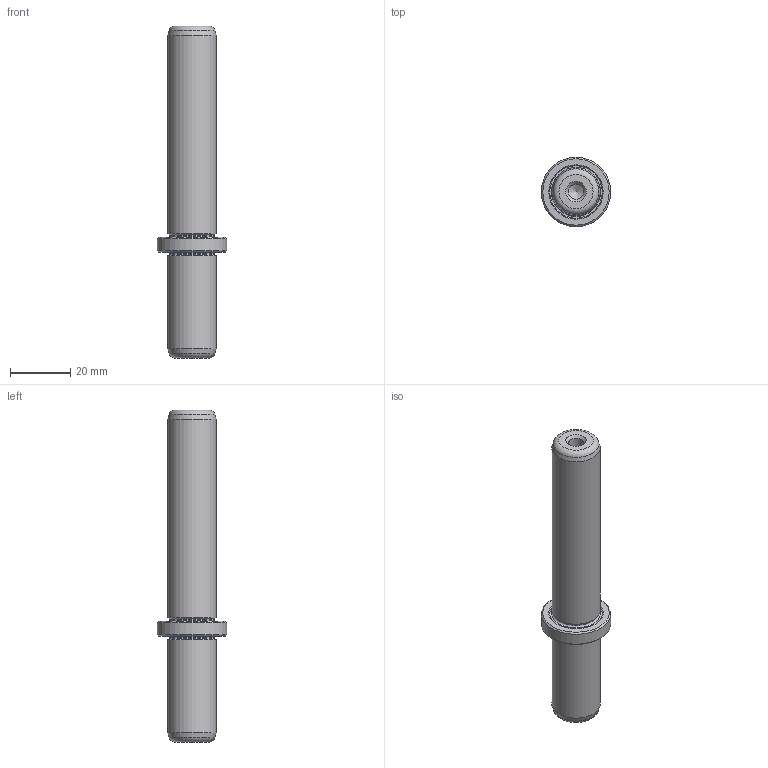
import cadquery as cq
import math

length = 110.0
shaft_radius = 8.0

lead_length = 3.0
lead_angle = math.radians(15.0)
end_round = 2.0

flange_radius = 11.5
flange_bottom = 35.0
flange_thickness = 5.0
flange_top = flange_bottom + flange_thickness
flange_chamfer = 0.5

neck_radius = 7.5
undercut_round = 0.6
undercut_height = 1.1
undercut_taper_height = 0.4
face_recess_radius = 9.0
face_recess_depth = 0.3

hole_radius = 2.5
hole_depth = 16.0
drill_half_angle = math.radians(59.0)
countersink_radius = 3.4
countersink_depth = 1.0

round_height = end_round * (1 - math.sin(lead_angle))
round_outer = shaft_radius - (lead_length - round_height) * math.tan(lead_angle)
round_inner = round_outer - end_round * math.cos(lead_angle)

round_mid_angle = (math.pi / 2 + lead_angle) / 2
round_mid_radius = round_inner + end_round * math.cos(round_mid_angle)
round_mid_height = end_round * (1 - math.sin(round_mid_angle))


def make_shaft():
    """Revolve the half outline of the plain shaft, from the lower end to the upper end."""
    return (
        cq.Workplane("XZ")
        .lineTo(round_inner, 0)
        .threePointArc((round_mid_radius, round_mid_height), (round_outer, round_height))
        .lineTo(shaft_radius, lead_length)
        .lineTo(shaft_radius, length - lead_length)
        .lineTo(round_outer, length - round_height)
        .threePointArc((round_mid_radius, length - round_mid_height), (round_inner, length))
        .lineTo(0, length)
        .close()
        .revolve(360, (0, 0), (0, 1))
    )


def make_flange():
    """Chamfered disc around the shaft."""
    disc = (
        cq.Workplane("XY")
        .workplane(offset=flange_bottom)
        .circle(flange_radius)
        .extrude(flange_thickness)
    )
    return disc.faces("<Z or >Z").edges().chamfer(flange_chamfer)


def make_undercut(face, outward):
    """Relief ring at one flange face; outward is +1 above the flange and -1 below it.

    It sinks into the face with a 45 degree outer wall, rounds up into the neck,
    then tapers out to the shaft surface.
    """
    recess_floor = face - outward * face_recess_depth
    arc_inset = undercut_round * (1 - math.sqrt(0.5))
    shaft_corner = face + outward * undercut_height
    return (
        cq.Workplane("XZ")
        .moveTo(face_recess_radius, face)
        .lineTo(face_recess_radius - face_recess_depth, recess_floor)
        .lineTo(neck_radius + undercut_round, recess_floor)
        .threePointArc(
            (neck_radius + arc_inset, recess_floor + outward * arc_inset),
            (neck_radius, recess_floor + outward * undercut_round),
        )
        .lineTo(neck_radius, shaft_corner - outward * undercut_taper_height)
        .lineTo(shaft_radius, shaft_corner)
        .lineTo(face_recess_radius, shaft_corner)
        .close()
        .revolve(360, (0, 0), (0, 1))
    )


def make_centre_hole():
    """Countersunk blind hole with a conical drill point, in the upper end."""
    drill_point = hole_radius / math.tan(drill_half_angle)
    return (
        cq.Workplane("XZ")
        .moveTo(0, length)
        .lineTo(countersink_radius, length)
        .lineTo(hole_radius, length - countersink_depth)
        .lineTo(hole_radius, length - hole_depth)
        .lineTo(0, length - hole_depth - drill_point)
        .close()
        .revolve(360, (0, 0), (0, 1))
    )


result = (
    make_shaft()
    .union(make_flange())
    .cut(make_undercut(flange_top, 1))
    .cut(make_undercut(flange_bottom, -1))
    .cut(make_centre_hole())
)